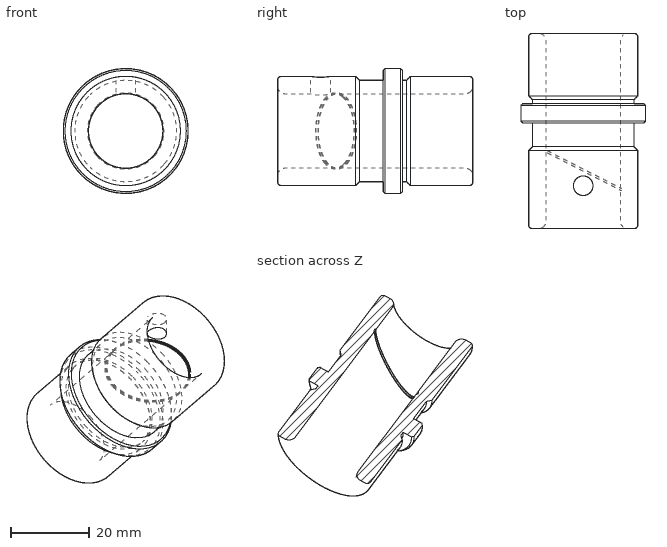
import cadquery as cq


front_length = 27.0
collar_width = 5.0
rear_length = 18.0
front_neck_length = 6.0
rear_neck_length = 1.0
neck_taper_length = 1.0

body_diameter = 28.0
collar_diameter = 32.0
neck_diameter = 26.0
bore_diameter = 19.0

body_edge_radius = 1.0
collar_chamfer = 0.5
bore_mouth_radius = 2.0

hole_diameter = 5.0
hole_from_front = 11.0

groove_width = 0.5
groove_depth = 0.25
groove_tilt = 27.0
groove_center_from_front = 15.0

front_end = -front_length
rear_end = collar_width + rear_length
front_neck_start = -front_neck_length
rear_neck_end = collar_width + rear_neck_length
body_radius = body_diameter / 2
collar_radius = collar_diameter / 2
neck_radius = neck_diameter / 2
bore_radius = bore_diameter / 2


def corner_sag(radius):
    """Return the inset of a rounded corner's middle point, along either side of the corner."""
    return radius * (1 - 0.5 ** 0.5)


def make_bushing():
    """Revolve the half section, including the bore with its rounded mouths."""
    body_sag = corner_sag(body_edge_radius)
    mouth_sag = corner_sag(bore_mouth_radius)
    section = (
        cq.Workplane("XY")
        .moveTo(bore_radius, front_end + bore_mouth_radius)
        .threePointArc(
            (bore_radius + mouth_sag, front_end + mouth_sag),
            (bore_radius + bore_mouth_radius, front_end),
        )
        .lineTo(body_radius - body_edge_radius, front_end)
        .threePointArc(
            (body_radius - body_sag, front_end + body_sag),
            (body_radius, front_end + body_edge_radius),
        )
        .lineTo(body_radius, front_neck_start - neck_taper_length)
        .lineTo(neck_radius, front_neck_start)
        .lineTo(neck_radius, 0)
        .lineTo(collar_radius - collar_chamfer, 0)
        .lineTo(collar_radius, collar_chamfer)
        .lineTo(collar_radius, collar_width - collar_chamfer)
        .lineTo(collar_radius - collar_chamfer, collar_width)
        .lineTo(neck_radius, collar_width)
        .lineTo(neck_radius, rear_neck_end)
        .lineTo(body_radius, rear_neck_end + neck_taper_length)
        .lineTo(body_radius, rear_end - body_edge_radius)
        .threePointArc(
            (body_radius - body_sag, rear_end - body_sag),
            (body_radius - body_edge_radius, rear_end),
        )
        .lineTo(bore_radius + bore_mouth_radius, rear_end)
        .threePointArc(
            (bore_radius + mouth_sag, rear_end - mouth_sag),
            (bore_radius, rear_end - bore_mouth_radius),
        )
        .close()
    )
    return section.revolve(360, (0, 0, 0), (0, 1, 0))


def make_radial_hole():
    """Cylinder along Z from the bore axis out through the top of the front body."""
    return (
        cq.Workplane("XY")
        .center(0, front_end + hole_from_front)
        .circle(hole_diameter / 2)
        .extrude(collar_radius)
    )


def make_tilted_groove():
    """Thin tilted disc trimmed to a cylinder slightly larger than the bore."""
    groove_center = (0, front_end + groove_center_from_front, 0)
    disc = (
        cq.Workplane("XZ")
        .circle(body_diameter)
        .extrude(groove_width / 2, both=True)
        .rotate((0, 0, 0), (0, 0, 1), -groove_tilt)
        .translate(groove_center)
    )
    groove_limit = (
        cq.Workplane("XZ")
        .circle(bore_radius + groove_depth)
        .extrude(body_diameter, both=True)
        .translate(groove_center)
    )
    return disc.intersect(groove_limit)


result = make_bushing().cut(make_radial_hole()).cut(make_tilted_groove())